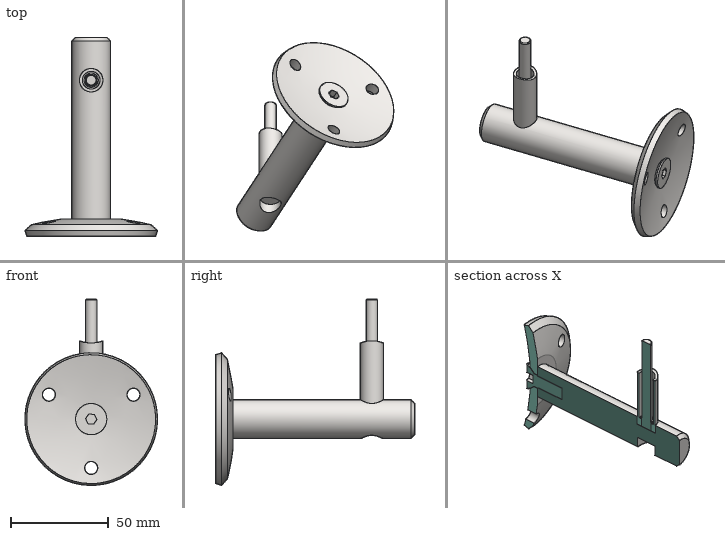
import cadquery as cq
import math


plate_radius = 34
plate_back_radius = 33
plate_edge_y = 3
dome_rim_radius = 30.7
dome_rim_y = 6
bar_seat_radius = 15
dish_depth = 4
mount_hole_diameter = 6.5
mount_circle_radius = 25
mount_hole_count = 3

bar_diameter = 20
bar_length = 93
bar_end_y = 101.99
bar_seat_y = bar_end_y - bar_length
bar_chamfer = 2

screw_face_y = 1.6
screw_head_diameter = 16
screw_rim_thickness = 0.95
screw_shank_diameter = 8
screw_depth_in_bar = 16
hex_across_flats = 5
hex_depth = 4
hex_turn = -5

post_y = 80
sleeve_diameter = 12
sleeve_bore = 9
sleeve_seat_z = 5
sleeve_floor_z = 10
rail_diameter = 33.7
saddle_low_z = 39

pin_diameter = 6
pin_top_z = 61.38
pin_chamfer = 0.5
pin_foot_diameter = 7.3

access_hole_diameter = 11
access_hole_top_z = -4


def rod_along_y(diameter, start_y, end_y):
    return cq.Workplane("XZ", origin=(0, start_y, 0)).circle(diameter / 2).extrude(start_y - end_y)


def rod_along_z(diameter, bottom_z, top_z):
    return cq.Workplane("XY", origin=(0, post_y, bottom_z)).circle(diameter / 2).extrude(top_z - bottom_z)


def ball_through(outer_radius, outer_y, inner_radius, inner_y):
    """Ball centred on the Y axis whose surface passes through two circles around that axis."""
    square_change = outer_radius**2 + outer_y**2 - inner_radius**2 - inner_y**2
    center_y = square_change / (2 * (outer_y - inner_y))
    ball_radius = math.hypot(outer_radius, outer_y - center_y)
    return cq.Workplane("XY", origin=(0, center_y, 0)).sphere(ball_radius)


def make_plate():
    blank = (
        cq.Workplane("XY")
        .lineTo(plate_back_radius, 0)
        .lineTo(plate_radius, plate_edge_y)
        .lineTo(dome_rim_radius, dome_rim_y)
        .lineTo(dome_rim_radius, bar_seat_y)
        .lineTo(0, bar_seat_y)
        .close()
        .revolve(360, (0, 0, 0), (0, 1, 0))
    )
    dome_ball = ball_through(dome_rim_radius, dome_rim_y, bar_seat_radius, bar_seat_y)
    dish_ball = ball_through(plate_back_radius, 0, 0, dish_depth)
    mount_holes = (
        cq.Workplane("XZ")
        .polarArray(mount_circle_radius, -90, 360, mount_hole_count)
        .circle(mount_hole_diameter / 2)
        .extrude(-bar_seat_y)
    )
    return blank.intersect(dome_ball).cut(dish_ball).cut(mount_holes)


def make_screw_body():
    head_radius = screw_head_diameter / 2
    shank_radius = screw_shank_diameter / 2
    cone_start_y = screw_face_y + screw_rim_thickness
    cone_end_y = cone_start_y + head_radius - shank_radius
    screw_end_y = bar_seat_y + screw_depth_in_bar
    return (
        cq.Workplane("XY")
        .moveTo(0, screw_face_y)
        .lineTo(head_radius, screw_face_y)
        .lineTo(head_radius, cone_start_y)
        .lineTo(shank_radius, cone_end_y)
        .lineTo(shank_radius, screw_end_y)
        .lineTo(0, screw_end_y)
        .close()
        .revolve(360, (0, 0, 0), (0, 1, 0))
    )


def make_hex_socket():
    return (
        cq.Workplane("XZ", origin=(0, screw_face_y, 0))
        .transformed(rotate=(0, 0, hex_turn))
        .polygon(6, hex_across_flats / math.cos(math.pi / 6))
        .extrude(-hex_depth)
    )


def make_bar():
    bar = rod_along_y(bar_diameter, bar_seat_y, bar_end_y)
    bar = bar.faces(">Y").chamfer(bar_chamfer)
    access_hole = rod_along_z(access_hole_diameter, -bar_diameter, access_hole_top_z)
    sleeve_recess = rod_along_z(sleeve_diameter, sleeve_seat_z, bar_diameter)
    return bar.cut(access_hole).cut(sleeve_recess)


def make_sleeve():
    rail_center_z = saddle_low_z + rail_diameter / 2
    tube = rod_along_z(sleeve_diameter, sleeve_seat_z, rail_center_z)
    bore = rod_along_z(sleeve_bore, sleeve_floor_z, rail_center_z)
    rail = rod_along_y(rail_diameter, 0, bar_end_y).translate((0, 0, rail_center_z))
    return tube.cut(bore).cut(rail)


def make_pin():
    rod = rod_along_z(pin_diameter, sleeve_seat_z, pin_top_z).faces(">Z").chamfer(pin_chamfer)
    pin_radius = pin_diameter / 2
    foot_radius = pin_foot_diameter / 2
    foot_base = cq.Vector(0, post_y, sleeve_floor_z)
    foot = cq.Solid.makeCone(foot_radius, pin_radius, foot_radius - pin_radius, foot_base)
    return rod.union(cq.Workplane(foot))


pin = make_pin()
sleeve = make_sleeve().cut(pin)

screw_body = make_screw_body()
screw = screw_body.cut(make_hex_socket())
plate = make_plate().cut(screw_body)
bar = make_bar().cut(screw_body)

result = cq.Compound.makeCompound([plate.val(), screw.val(), bar.val(), sleeve.val(), pin.val()])